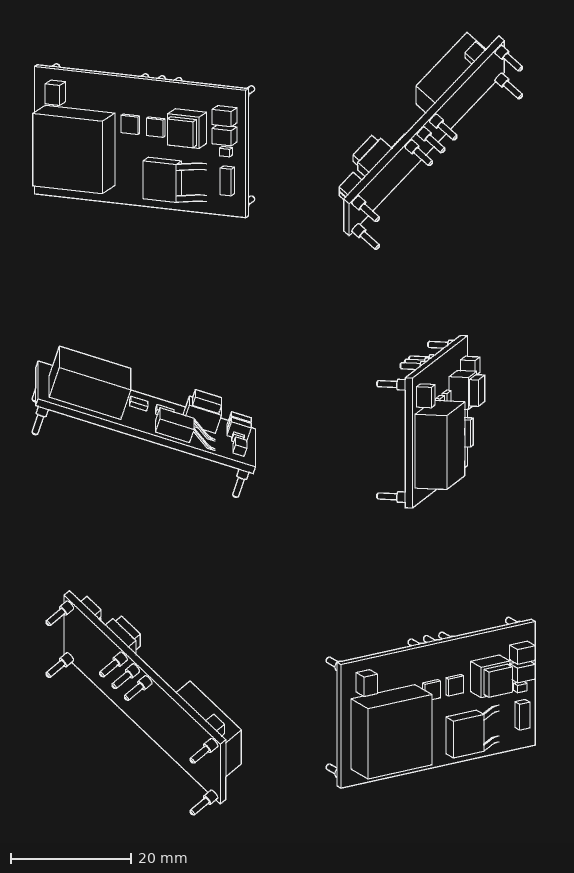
import cadquery as cq


board_width = 38.0
board_height = 22.0
board_thickness = 1.25

pin_edge_x = 17.5
pin_edge_z = 9.5
pin_row_start_x = -1.52
pin_row_pitch = 3.0
pin_row_count = 3
collar_diameter = 1.8
collar_length = 1.6
pin_diameter = 1.05
pin_length = 5.15
pin_chamfer = 0.23

inductor_side = 12.5
inductor_depth = 5.4
inductor_x = -10.8
row_top = 4.52
inductor_z = row_top - inductor_side / 2

chip_side = 3.0
chip_depth = 0.8
chip_z = row_top - chip_side / 2
chip_xs = (-1.55, 3.0)

capacitor_length = 3.45
capacitor_width = 2.62
capacitor_depth = 2.5
upright_capacitor_x = -14.7
upright_capacitor_z = 7.25
right_column_x = 15.7
lying_capacitor_gap = 0.7
lower_capacitor_z = row_top - capacitor_width / 2
upper_capacitor_z = lower_capacitor_z + capacitor_width + lying_capacitor_gap

resistor_width = 1.85
resistor_height = 1.3
resistor_depth = 1.25
resistor_z = 0.23

diode_width = 1.98
diode_height = 4.6
diode_depth = 1.5
diode_x = 16.0
diode_z = -4.75

trimmer_z = 3.75
trimmer_base_x = 9.15
trimmer_base_width = 5.62
trimmer_base_height = 5.4
trimmer_base_depth = 3.3
trimmer_cap_x = 9.2
trimmer_cap_width = 4.6
trimmer_cap_height = 4.5
trimmer_cap_depth = 4.83

transistor_x = 4.5
transistor_z = -5.7
transistor_width = 5.95
transistor_height = 6.55
transistor_depth = 2.4
lead_width = 1.05
lead_outer_depth = 2.35
lead_inner_depth = 2.05
lead_knee_x = 10.22
lead_knee_depth = 0.55
lead_landing_x = 10.53
lead_tip_x = 11.95
lead_embed = 0.2


def component(x, z, width, height, depth):
    """Rectangular block centred at (x, z) on the component face."""
    return cq.Workplane("XY").box(width, depth, height).translate((x, -depth / 2, z))


def cylinder_along_y(x, z, diameter, start_y, end_y):
    """Round bar running toward +Y."""
    plane = cq.Plane(origin=(x, start_y, z), xDir=(1, 0, 0), normal=(0, 1, 0))
    return cq.Workplane(plane).circle(diameter / 2).extrude(end_y - start_y)


def pin(x, z):
    """Pin whose collar passes through the board and ends flush with the component face."""
    tip_y = board_thickness + pin_length
    collar = cylinder_along_y(x, z, collar_diameter, 0, board_thickness + collar_length)
    shaft = cylinder_along_y(x, z, pin_diameter, board_thickness, tip_y)
    return collar.union(shaft.faces(">Y").chamfer(pin_chamfer))


def lead(center_z):
    """Lead that slopes from the transistor to the board and flattens out in an arc at its tip."""
    body_x = transistor_x + transistor_width / 2
    return (
        cq.Workplane("XY", origin=(0, 0, center_z - lead_width / 2))
        .moveTo(body_x - lead_embed, -lead_outer_depth)
        .lineTo(body_x, -lead_outer_depth)
        .lineTo(lead_knee_x, -lead_knee_depth)
        .tangentArcPoint((lead_tip_x, 0), relative=False)
        .lineTo(lead_tip_x, lead_embed)
        .lineTo(lead_landing_x, lead_embed)
        .lineTo(lead_landing_x, 0)
        .lineTo(body_x, -lead_inner_depth)
        .lineTo(body_x - lead_embed, -lead_inner_depth)
        .close()
        .extrude(lead_width)
    )


board = cq.Workplane("XY").box(board_width, board_thickness, board_height)
board = board.translate((0, board_thickness / 2, 0))

components = [
    component(inductor_x, inductor_z, inductor_side, inductor_side, inductor_depth),
    component(upright_capacitor_x, upright_capacitor_z, capacitor_width, capacitor_length, capacitor_depth),
    component(right_column_x, resistor_z, resistor_width, resistor_height, resistor_depth),
    component(diode_x, diode_z, diode_width, diode_height, diode_depth),
    component(trimmer_base_x, trimmer_z, trimmer_base_width, trimmer_base_height, trimmer_base_depth),
    component(trimmer_cap_x, trimmer_z, trimmer_cap_width, trimmer_cap_height, trimmer_cap_depth),
    component(transistor_x, transistor_z, transistor_width, transistor_height, transistor_depth),
]
for x in chip_xs:
    components.append(component(x, chip_z, chip_side, chip_side, chip_depth))
for z in (lower_capacitor_z, upper_capacitor_z):
    components.append(component(right_column_x, z, capacitor_length, capacitor_width, capacitor_depth))

lead_offset_z = (transistor_height - lead_width) / 2
leads = [lead(transistor_z + side * lead_offset_z) for side in (-1, 1)]

pin_positions = [(x, z) for x in (-pin_edge_x, pin_edge_x) for z in (-pin_edge_z, pin_edge_z)]
for index in range(pin_row_count):
    pin_positions.append((pin_row_start_x + index * pin_row_pitch, pin_edge_z))
pins = [pin(x, z) for x, z in pin_positions]

result = board
for piece in components + leads:
    result = result.union(piece)
for piece in pins:
    result = result.union(piece, clean=False)